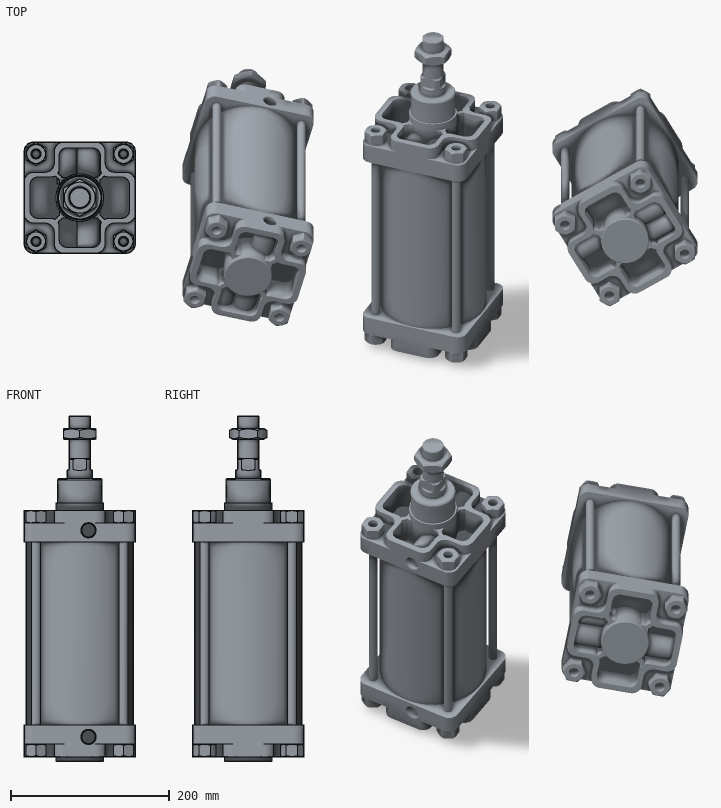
import cadquery as cq
import math

cover_width = 140
cover_thickness = 40
cover_corner_radius = 12
body_length = 310
tube_diameter = 135

notch_depth = 16
notch_edge = 32
notch_radius = 12
notch_lip_radius = 12
rib_thickness = 6
rim_thickness = 7.5
pocket_depth = 37
pocket_outer_radius = 10
pocket_inner_radius = 2.5
bend_radius = 10
centre_block_half = 25.5
web_thickness = 5

port_x = 11
port_depth_from_face = 25
port_diameter = 17
port_mouth_diameter = 19
port_length = 40
port_boss_diameter = 29
cushion_x = -16
cushion_boss_diameter = 25
cushion_boss_inner_y = 17

tie_spacing = 110
tie_rod_diameter = 10.87
tie_nut_flats = 25
tie_nut_height = notch_depth
tie_nut_hole = 10.11
tie_nut_hole_mouth = 12.5
tie_nut_hole_depth = 12

collar_diameter = 60
collar_height = 9
rear_collar_height = 6
rear_collar_chamfer = 1
gland_diameter = 56.4
gland_waist_diameter = 55.8
gland_top = 40
gland_edge = 1.5

rod_diameter = 32
rod_shoulder = 65
rod_shoulder_chamfer = 1.2
thread_diameter = 27
rod_top = 119
thread_chamfer = 1
wrench_flats = 27
wrench_flat_length = 12

lock_nut_flats = 41
lock_nut_height = 13.5
lock_nut_top = 103

nut_chamfer_angle = math.radians(30)


def hexagon_nut(flats, height):
    """Hexagonal prism on Z = 0 with two corners on the Y axis and conical end chamfers."""
    corners = flats / math.cos(math.radians(30))
    prism = cq.Workplane("XY").polygon(6, corners).extrude(height).rotate((0, 0, 0), (0, 0, 1), 30)
    face_radius = 0.95 * flats / 2
    rim_radius = corners / 2 + 1
    drop = (rim_radius - face_radius) * math.tan(nut_chamfer_angle)
    envelope = (
        cq.Workplane("XZ")
        .moveTo(0, 0)
        .lineTo(face_radius, 0)
        .lineTo(rim_radius, drop)
        .lineTo(rim_radius, height - drop)
        .lineTo(face_radius, height)
        .lineTo(0, height)
        .close()
        .revolve(360, (0, 0, 0), (0, 1, 0))
    )
    return prism.intersect(envelope)


def raised_cross():
    """Cross-shaped part of a cover that stands between the four corner notches."""
    half = cover_width / 2
    cross = cq.Workplane("XY").rect(cover_width, 2 * notch_edge).extrude(-notch_depth)
    cross = cross.union(cq.Workplane("XY").rect(2 * notch_edge, cover_width).extrude(-notch_depth))
    for sx in (-1, 1):
        for sy in (-1, 1):
            cross = round_edge(cross, sx * notch_edge, sy * notch_edge, notch_radius)
            cross = round_edge(cross, sx * notch_edge, sy * half, notch_lip_radius)
            cross = round_edge(cross, sx * half, sy * notch_edge, notch_lip_radius)
    return cross


def round_edge(solid, x, y, radius):
    """Fillet the vertical edge that stands at (x, y)."""
    near = 0.1
    deep = 2 * cover_thickness
    box = cq.selectors.BoxSelector((x - near, y - near, -deep), (x + near, y + near, deep))
    return solid.edges("|Z").edges(box).fillet(radius)


def pocket():
    """Pocket on the -X side: bounded by the rim, the ribs, the diagonal webs and the centre block."""
    outer_x = cover_width / 2 - rim_thickness
    half_width = notch_edge - rib_thickness
    web_offset = web_thickness / math.sqrt(2)
    bend_x = half_width + bend_radius
    web_half = web_thickness / 2
    along = math.sqrt(bend_radius**2 - web_half**2)
    end_x = bend_x - (along - web_half) / math.sqrt(2)
    end_y = bend_x - (along + web_half) / math.sqrt(2)
    middle = math.radians(67.5)
    mid_x = bend_x - bend_radius * math.cos(middle)
    mid_y = bend_x - bend_radius * math.sin(middle)
    inner_y = centre_block_half - web_offset
    shape = (
        cq.Workplane("XY")
        .moveTo(-outer_x, -half_width)
        .lineTo(-bend_x, -half_width)
        .threePointArc((-mid_x, -mid_y), (-end_x, -end_y))
        .lineTo(-centre_block_half, -inner_y)
        .lineTo(-centre_block_half, inner_y)
        .lineTo(-end_x, end_y)
        .threePointArc((-mid_x, mid_y), (-bend_x, half_width))
        .lineTo(-outer_x, half_width)
        .close()
        .extrude(-pocket_depth)
    )
    for side in (-1, 1):
        shape = round_edge(shape, -outer_x, side * half_width, pocket_outer_radius)
        shape = round_edge(shape, -centre_block_half, side * inner_y, pocket_inner_radius)
    return shape


def bar_along_y(x, diameter, start_y, end_y):
    """Cylinder parallel to Y at the height of the port axis."""
    bar = cq.Workplane("XZ", origin=(x, start_y, -port_depth_from_face)).circle(diameter / 2)
    return bar.extrude(start_y - end_y)


def tie_points():
    return cq.Workplane("XY").rect(tie_spacing, tie_spacing, forConstruction=True).vertices()


def tie_nut():
    """Tie rod nut with a slightly tapered blind hole in its outer face."""
    nut = hexagon_nut(tie_nut_flats, tie_nut_height)
    taper = math.degrees(math.atan((tie_nut_hole_mouth - tie_nut_hole) / 2 / tie_nut_hole_depth))
    hole = cq.Workplane("XY").workplane(offset=tie_nut_height).circle(tie_nut_hole_mouth / 2)
    return nut.cut(hole.extrude(-tie_nut_hole_depth, taper=taper))


def cover(height):
    """Cover with its outer face at Z = 0, its tie rod nuts and a round collar of the given height."""
    plate = cq.Workplane("XY").workplane(offset=-cover_thickness).rect(cover_width, cover_width)
    casting = plate.extrude(cover_thickness - notch_depth).edges("|Z").fillet(cover_corner_radius)
    casting = casting.union(raised_cross())
    for quarter in range(4):
        casting = casting.cut(pocket().rotate((0, 0, 0), (0, 0, 1), 90 * quarter))
    round_block = cq.Workplane("XY").workplane(offset=-cover_thickness).circle(collar_diameter / 2)
    casting = casting.union(round_block.extrude(cover_thickness + height))

    wall_y = cover_width / 2 - rim_thickness / 2
    casting = casting.union(bar_along_y(port_x, port_boss_diameter, wall_y, -wall_y))
    casting = casting.union(bar_along_y(cushion_x, cushion_boss_diameter, wall_y, cushion_boss_inner_y))

    face_y = -cover_width / 2
    casting = casting.cut(bar_along_y(port_x, port_diameter, face_y + port_length, face_y))
    mouth = (port_mouth_diameter - port_diameter) / 2
    cone = cq.Workplane("XZ", origin=(port_x, face_y, -port_depth_from_face)).circle(port_mouth_diameter / 2)
    casting = casting.cut(cone.extrude(-mouth, taper=45))

    nut = tie_nut().translate((0, 0, -notch_depth)).val()
    return casting.union(tie_points().eachpoint(lambda place: nut.located(place * nut.location()), True))


def build_gland():
    """Slightly waisted rod gland that stands on the front collar."""
    end_radius = gland_diameter / 2
    waist_height = (collar_height + gland_top - gland_edge) / 2
    return (
        cq.Workplane("XZ")
        .moveTo(0, collar_height)
        .lineTo(end_radius, collar_height)
        .threePointArc((gland_waist_diameter / 2, waist_height), (end_radius, gland_top - gland_edge))
        .lineTo(end_radius - gland_edge, gland_top)
        .lineTo(0, gland_top)
        .close()
        .revolve(360, (0, 0, 0), (0, 1, 0))
    )


def build_housing():
    """Tube, both covers, tie rods, collars and rod gland as one solid."""
    tube_length = body_length - 2 * cover_thickness
    head = cover(collar_height)
    rear = cover(rear_collar_height).faces(">Z").edges().chamfer(rear_collar_chamfer)
    rear = rear.mirror("XY").translate((0, 0, -body_length))
    tube = cq.Workplane("XY").workplane(offset=-cover_thickness).circle(tube_diameter / 2).extrude(-tube_length)
    rods = tie_points().circle(tie_rod_diameter / 2).extrude(-tube_length).translate((0, 0, -cover_thickness))
    gland = build_gland()
    housing = head
    for piece in (tube, rear, rods, gland):
        housing = housing.union(piece)
    return housing


def build_piston_rod():
    """Rod standing on the gland, with four wrench flats below its threaded end."""
    shank = cq.Workplane("XY").workplane(offset=gland_top).circle(rod_diameter / 2)
    shank = shank.extrude(rod_shoulder - gland_top).faces(">Z").edges().chamfer(rod_shoulder_chamfer)
    flat = wrench_flats / 2
    cut_depth = rod_diameter / 2 - flat
    flat_bottom = rod_shoulder - wrench_flat_length
    floor_height = flat_bottom - cut_depth
    cutter = (
        cq.Workplane("XZ")
        .moveTo(flat, rod_shoulder)
        .lineTo(flat, flat_bottom)
        .tangentArcPoint((rod_diameter / 2, floor_height), relative=False)
        .lineTo(rod_diameter, floor_height)
        .lineTo(rod_diameter, rod_shoulder)
        .close()
        .extrude(rod_diameter / 2, both=True)
    )
    for quarter in range(4):
        shank = shank.cut(cutter.rotate((0, 0, 0), (0, 0, 1), 90 * quarter))
    thread = cq.Workplane("XY").workplane(offset=rod_shoulder).circle(thread_diameter / 2)
    thread = thread.extrude(rod_top - rod_shoulder).faces(">Z").edges().chamfer(thread_chamfer)
    return shank.union(thread)


def build_lock_nut():
    """Hexagon lock nut on the rod thread."""
    bore = cq.Workplane("XY").circle(thread_diameter / 2).extrude(lock_nut_height)
    nut = hexagon_nut(lock_nut_flats, lock_nut_height).cut(bore)
    return nut.translate((0, 0, lock_nut_top - lock_nut_height))


housing = build_housing()
piston_rod = build_piston_rod()
lock_nut = build_lock_nut()

result = cq.Compound.makeCompound([housing.val(), piston_rod.val(), lock_nut.val()])